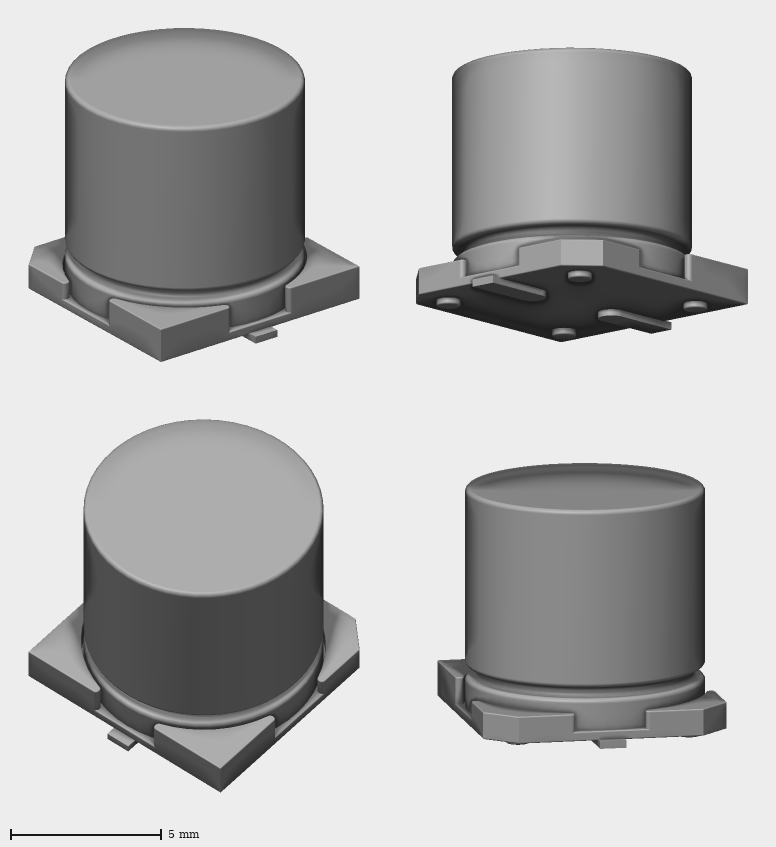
import cadquery as cq

total_length = 9.0
total_height = 8.0

base_width = 8.3
base_bottom = 0.22
floor_height = 0.53
low_block_top = 1.13
high_block_top = 1.44
corner_chamfer = 1.0
gap_half_width = 1.21
block_round = 0.135
seat_radius = 4.07
edge_round = 0.045

can_radius = 8.0 / 2
groove_radius = 7.2 / 2
groove_middle = 1.77
groove_flat = 0.06
groove_round = 0.15
lip_round = 0.15
top_round = 0.15

lead_width = 0.9
lead_thickness = 0.25
lead_inner_end = 1.54
foot_diameter = 0.8
foot_offset = 2.92
foot_round = 0.05

half_base = base_width / 2


def base_outline(bottom, top):
    """Square slab with both corners on the -X side cut off."""
    slab = cq.Workplane("XY").box(base_width, base_width, top - bottom, centered=(True, True, False))
    slab = slab.edges("|Z and <X").chamfer(corner_chamfer)
    return slab.translate((0, 0, bottom))


def corner_block(x_side, y_side, top):
    """Block in one corner, hollowed round the can and softened on its edges."""
    block_size = half_base - gap_half_width
    block_middle = gap_half_width + block_size / 2
    block = (
        cq.Workplane("XY")
        .center(x_side * block_middle, y_side * block_middle)
        .rect(block_size, block_size)
        .extrude(top)
    )
    block = block.intersect(base_outline(base_bottom + edge_round, top))
    block = block.cut(cq.Workplane("XY").circle(seat_radius).extrude(top))

    end_size = block_round * 2
    for end_x, end_y in ((gap_half_width, half_base), (half_base, gap_half_width)):
        near = (x_side * (end_x - end_size), y_side * (end_y - end_size), 0)
        far = (x_side * (end_x + end_size), y_side * (end_y + end_size), top)
        block = block.edges("|Z").edges(cq.selectors.BoxSelector(near, far)).fillet(block_round)
    return block.faces(">Z").edges().fillet(edge_round)


def make_base():
    """Thin plate under the can, rounded along its top and bottom edges."""
    base = base_outline(base_bottom, floor_height)
    return base.faces("<Z or >Z").edges().fillet(edge_round)


def make_can():
    """Revolved can with a rolled groove near its foot."""
    lower_flat = groove_middle - groove_flat / 2
    upper_flat = groove_middle + groove_flat / 2
    lower_ledge = lower_flat - groove_round
    upper_ledge = upper_flat + groove_round
    ledge_inner = groove_radius + groove_round
    ledge_outer = can_radius - lip_round
    profile = (
        cq.Workplane("XZ")
        .moveTo(0, floor_height)
        .lineTo(can_radius, floor_height)
        .lineTo(can_radius, lower_ledge - lip_round)
        .radiusArc((ledge_outer, lower_ledge), -lip_round)
        .lineTo(ledge_inner, lower_ledge)
        .radiusArc((groove_radius, lower_flat), groove_round)
        .lineTo(groove_radius, upper_flat)
        .radiusArc((ledge_inner, upper_ledge), groove_round)
        .lineTo(ledge_outer, upper_ledge)
        .radiusArc((can_radius, upper_ledge + lip_round), -lip_round)
        .lineTo(can_radius, total_height)
        .lineTo(0, total_height)
        .close()
    )
    can = profile.revolve(360, (0, 0), (0, 1))
    return can.faces(">Z").edges().fillet(top_round)


def make_lead(x_side):
    """Flat strip with a half-round inner end."""
    end_radius = lead_width / 2
    end_middle = lead_inner_end + end_radius
    strip_length = total_length / 2 - end_middle
    strip = (
        cq.Workplane("XY")
        .center(x_side * (end_middle + strip_length / 2), 0)
        .rect(strip_length, lead_width)
        .extrude(lead_thickness)
    )
    inner_end = cq.Workplane("XY").center(x_side * end_middle, 0).circle(end_radius).extrude(lead_thickness)
    return strip.union(inner_end)


def make_feet():
    """Four short round feet under the corner blocks."""
    centres = cq.Workplane("XY").rect(2 * foot_offset, 2 * foot_offset, forConstruction=True).vertices()
    feet = centres.circle(foot_diameter / 2).extrude(floor_height)
    return feet.faces("<Z").edges().fillet(foot_round)


result = make_base().union(make_can()).union(make_feet())
for x_side, block_top in ((-1, low_block_top), (1, high_block_top)):
    result = result.union(make_lead(x_side))
    for y_side in (-1, 1):
        result = result.union(corner_block(x_side, y_side, block_top))